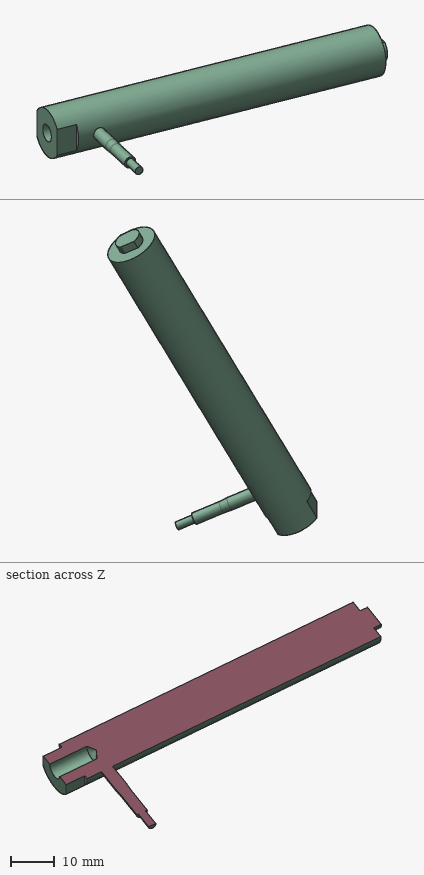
import cadquery as cq
import math

total_length = 86.0
body_diameter = 12.0
body_radius = body_diameter / 2

flats_width = 10.0
flats_length = 5.0

hole_diameter = 4.2
hole_depth = 10.0
drill_point_angle = 118.0

stub_diameter = 6.0
stub_height = 5.0
stub_length = 2.0
body_length = total_length - stub_length

cable_y = 10.4
sleeve_diameter = 3.1
jacket_diameter = 2.8
core_diameter = 2.0
sleeve_end = 11.95
taper_end = 14.0
jacket_end = 21.1
cable_end = 25.45


def make_body():
    """Round bar with two parallel flats at its front end."""
    bar = cq.Workplane("XZ").circle(body_radius).extrude(-body_length)
    flat_depth = (body_diameter - flats_width) / 2
    for side in (-1, 1):
        cutter = cq.Workplane("XY").box(
            flat_depth, flats_length, body_diameter, centered=(True, False, True)
        )
        bar = bar.cut(cutter.translate((side * (body_radius - flat_depth / 2), 0, 0)))
    return bar


def make_stub():
    """Short rear stub: a cylinder trimmed to the stub height."""
    cylinder = cq.Workplane("XZ", origin=(0, body_length, 0)).circle(stub_diameter / 2).extrude(-stub_length)
    slab = cq.Workplane("XY").box(
        stub_diameter, stub_length, stub_height, centered=(True, False, True)
    )
    return cylinder.intersect(slab.translate((0, body_length, 0)))


def make_cable():
    """Sleeve, short taper, jacket and core revolved about the cable axis."""
    profile = [
        (0, 0),
        (0, sleeve_diameter / 2),
        (sleeve_end, sleeve_diameter / 2),
        (taper_end, jacket_diameter / 2),
        (jacket_end, jacket_diameter / 2),
        (jacket_end, core_diameter / 2),
        (cable_end, core_diameter / 2),
        (cable_end, 0),
    ]
    cable = cq.Workplane("XY").polyline(profile).close().revolve(360, (0, 0, 0), (1, 0, 0))
    return cable.translate((0, cable_y, 0))


def make_hole():
    """Drilled hole with a conical bottom, as a solid to subtract."""
    radius = hole_diameter / 2
    point_length = radius / math.tan(math.radians(drill_point_angle / 2))
    profile = [
        (0, 0),
        (radius, 0),
        (radius, hole_depth),
        (0, hole_depth + point_length),
    ]
    return cq.Workplane("XY").polyline(profile).close().revolve(360, (0, 0, 0), (0, 1, 0))


result = make_body().union(make_stub()).union(make_cable()).cut(make_hole())